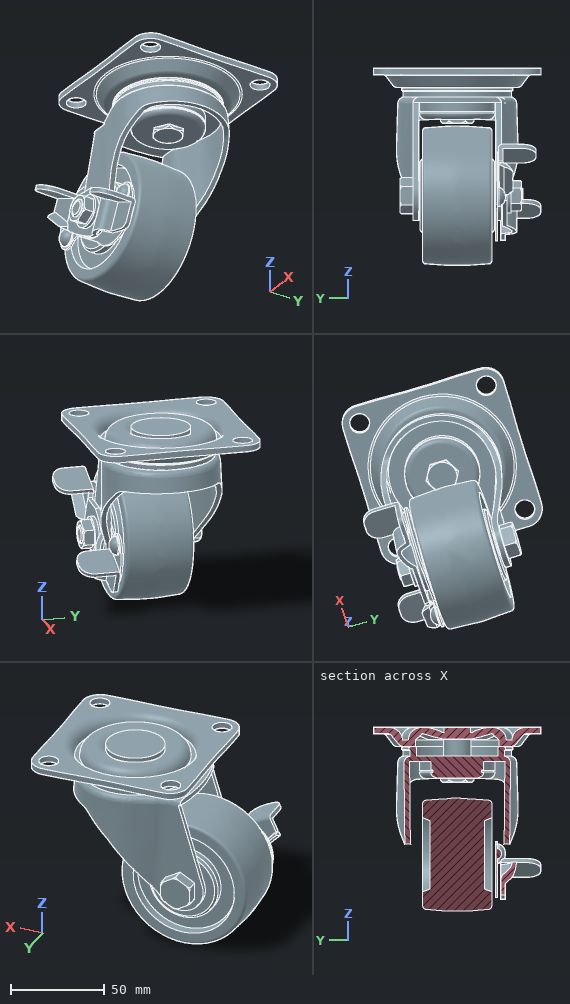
import cadquery as cq
import math


PLATE_SIDE = 90.0
PLATE_THICKNESS = 3.6
PLATE_CORNER_RADIUS = 10.0
SIDE_BOW_HALF_LENGTH = 22.5
SIDE_BOW_DEPTH = 0.45
MOUNT_HOLE_DIAMETER = 10.6
MOUNT_HOLE_SPACING = 71.0
BOWL_TOP_RADIUS = 39.8
BOWL_FLOOR_RADIUS = 32.6
BOWL_DEPTH = 6.9
BOWL_RIM_DROP = 0.4
BOWL_RIM_STEP = 1.2
BOWL_WALL_FOOT = (34.3, -9.7)
BOWL_FOOT_BEND = (33.3, -10.3)
BOWL_BASE_RADIUS = 31.5
DOME_OUTER_RADIUS = 30.0
DOME_CREST_RADIUS = 23.5
DOME_CREST_INNER_RADIUS = 22.5
FUNNEL_DEPTH = 3.0
PIN_HEAD_RADIUS = 16.0
PIN_SHAFT_RADIUS = 7.5
PIN_HEX_DIAMETER = 18.2
PIN_HEX_CHAMFER = 1.2
PIN_END_Z = -29.7

WHEEL_X = -36.0
WHEEL_Z = -68.5
WHEEL_RADIUS = 37.5
TREAD_SHOULDER_RADIUS = 36.6
TREAD_FACE_RADIUS = 34.7
WHEEL_HALF_WIDTH = 18.75
TREAD_ROUNDING = 2.0
RECESS_OUTER_RADIUS = 29.4
RECESS_FLOOR_RADIUS = 28.4
RECESS_DEPTH = 4.0
HUB_BASE_RADIUS = 20.0
HUB_RADIUS = 18.5
HUB_Y = 20.0
BOSS_RADIUS = 8.0
AXLE_RADIUS = 5.0

SHEET = 3.2
LEG_INNER_Y = 20.6
LEG_OUTER_Y = LEG_INNER_Y + SHEET
FORK_ROUND_RADIUS = 31.9
FORK_ROOF_Z = -15.4
FORK_LEAN = 0.08
FORK_SPREAD = 0.035
FORK_TOP_ROUNDING = 3.8
FLARE_START_X = -29.3
FLARE_LINE_X = -23.4
FLARE_LINE_Y = 25.6
LEG_END_RADIUS = 13.4
ROOF_FRONT_X = -39.0
ROOF_CORNER_X = -35.7
FORK_REAR_X = 45.0
LEG_FRONT_TOP = (-35.2, -19.2)
LEG_REAR_LOW_BEND = (-3.3, -49.3)
LEG_REAR_HIGH_BEND = (2.4, -42.4)
SKIRT_ARC_START = (14.6, -31.0)
SKIRT_ARC_MIDDLE = (17.2, -29.0)
SKIRT_ARC_END = (20.7, -28.1)
SKIRT_REAR = (33.0, -27.2)
NECK_RADIUS = 29.2
NECK_WALL = 3.2
SEAL_RADIUS = 29.8
SEAL_HEIGHT = 1.7
SEAL_GAP = 0.3
SEAL_CHAMFER = 0.5
CUP_RADIUS = 20.2
CUP_Z = -27.5
CUP_ROUNDING = 3.0
CUP_GROOVE_Z = -23.2
CUP_GROOVE_WIDTH = 1.0
CUP_GROOVE_DEPTH = 0.8

BOLT_HEAD_DIAMETER = 19.5
BOLT_HEAD_END_Y = 30.8
BOLT_END_Y = -35.2
BOLT_END_CHAMFER = 1.2
NUT_DIAMETER = 16.3
NUT_INNER_Y = -28.8
NUT_OUTER_Y = -34.6
NUT_FLANGE_RADIUS = 9.25
HEX_ROUNDING_DROP = 0.8

BRAKE_SHEET = 1.1
BRAKE_LOBE_RADIUS = 6.5
BRAKE_LEFT_HALF = (20.0, (-15.2, 3.4), (1.57, 14.4), 197.5)
BRAKE_RIGHT_HALF = (19.0, (15.1, -5.3), (-0.2, -16.6), 28.0)
BRAKE_LOBE_END_TURN = 125.0
BRAKE_ELBOW = (19.0, 3.8)
RIVET_RADIUS = 5.2
RIVET_COLLAR = 0.7
RIVET_DOME = 3.4
RIVET_DOME_BEND = (3.9, -2.1)

LEVER_ANGLE = 25.5
LEVER_SHEET = 2.5
LEFT_WEB_Y = -24.6
MIDDLE_Y = -26.7
RIDGE_Y = -32.0
RIGHT_WEB_Y = -25.8
LEFT_BEND_U = -24.0
MIDDLE_START_U = -18.0
MIDDLE_END_U = 10.3
RIDGE_RISE = (15.2, -29.0)
RIDGE_U = 20.5
RIDGE_SHOULDER = (23.0, -29.75)
RIDGE_FALL = (24.2, -27.75)
RIGHT_BEND_U = 25.5
LEVER_LEFT_U = -41.2
LEVER_RIGHT_U = 40.2
LEFT_PEDAL_END_U = -22.8
RIGHT_PEDAL_START_U = 21.8
LEFT_PEDAL_W = 11.0
RIGHT_PEDAL_W = 8.2
LEFT_PEDAL_TIP_Y = -42.3
RIGHT_PEDAL_TIP_Y = -44.8
PEDAL_CORNER_RADIUS = 7.5
PEDAL_BEND_RADIUS = 2.2
LEVER_TOP_EDGE = ((-19.5, 8.1), (-4.8, 13.7), (3.0, 12.6), (10.0, 9.4), (16.6, 7.4))
LEVER_RIGHT_CORNER = ((LEVER_RIGHT_U, -4.7), (39.0, -7.6), (36.0, -9.1))
LEVER_BOTTOM_EDGE = ((26.6, -10.6), (6.2, -13.5), (-5.0, -12.6), (-16.4, -10.7), (-22.3, -6.9))
LIP_START = (-39.68, 0.9)
LIP_LENGTH = 22.0
LIP_ANGLE = -20.0
LIP_DROOP = 32.0
LIP_ROOT = 1.0
LIP_REACH = 6.8
LIP_DROP = 3.3
LIP_CORNER_RADIUS = 6.5


def cylinder_y(radius, y_start, y_end, x=WHEEL_X, z=WHEEL_Z):
    """Cylinder along Y between two Y positions."""
    return cq.Workplane("XZ", origin=(x, y_start, z)).circle(radius).extrude(y_start - y_end)


def hexagon_y(diameter, y_start, y_end):
    """Hexagonal prism along Y on the axle, one corner upward."""
    prism = cq.Workplane("XZ", origin=(WHEEL_X, y_start, WHEEL_Z))
    return prism.transformed(rotate=(0, 0, 90)).polygon(6, diameter).extrude(y_start - y_end)


def tangent_point(point, centre, radius, side):
    """Where a line from a point touches a circle; side +1 or -1 picks the tangent."""
    dx = point[0] - centre[0]
    dz = point[1] - centre[1]
    angle = math.atan2(dz, dx) + side * math.acos(radius / math.hypot(dx, dz))
    return (centre[0] + radius * math.cos(angle), centre[1] + radius * math.sin(angle))


def plate_blank():
    half = PLATE_SIDE / 2
    waist = half - SIDE_BOW_DEPTH
    bow = SIDE_BOW_HALF_LENGTH
    blank = (
        cq.Workplane("XY")
        .rect(PLATE_SIDE, PLATE_SIDE)
        .extrude(-PLATE_THICKNESS)
        .edges("|Z")
        .fillet(PLATE_CORNER_RADIUS)
    )
    bow_cut = (
        cq.Workplane("XY")
        .moveTo(-bow, half)
        .threePointArc((0, waist), (bow, half))
        .close()
        .extrude(-PLATE_THICKNESS)
    )
    for turn in range(4):
        blank = blank.cut(bow_cut.rotate((0, 0, 0), (0, 0, 1), 90 * turn))
    return blank


def bowl_and_pin():
    """Revolved bowl, ball-race dome and king pin, with the dome hollow underneath."""
    underside = -BOWL_DEPTH - PLATE_THICKNESS
    diagonal = math.sqrt(0.5)
    bowl_run = BOWL_TOP_RADIUS - BOWL_FLOOR_RADIUS
    dome_run = DOME_OUTER_RADIUS - DOME_CREST_RADIUS
    hollow_radius = DOME_OUTER_RADIUS - PLATE_THICKNESS
    profile = (
        cq.Workplane("XZ")
        .moveTo(0, 0)
        .lineTo(PIN_HEAD_RADIUS, 0)
        .lineTo(PIN_HEAD_RADIUS, -FUNNEL_DEPTH)
        .threePointArc(
            ((PIN_HEAD_RADIUS + DOME_CREST_INNER_RADIUS) / 2, -FUNNEL_DEPTH / 4),
            (DOME_CREST_INNER_RADIUS, 0),
        )
        .lineTo(DOME_CREST_RADIUS, 0)
        .threePointArc(
            (DOME_CREST_RADIUS + dome_run * diagonal, -BOWL_DEPTH * (1 - diagonal)),
            (DOME_OUTER_RADIUS, -BOWL_DEPTH),
        )
        .lineTo(BOWL_FLOOR_RADIUS, -BOWL_DEPTH)
        .threePointArc(
            (BOWL_TOP_RADIUS - bowl_run * diagonal, -BOWL_DEPTH * (1 - diagonal)),
            (BOWL_TOP_RADIUS, 0),
        )
        .lineTo(BOWL_TOP_RADIUS, -PLATE_THICKNESS)
        .lineTo(BOWL_TOP_RADIUS - BOWL_RIM_STEP, -PLATE_THICKNESS - BOWL_RIM_DROP)
        .lineTo(*BOWL_WALL_FOOT)
        .threePointArc(BOWL_FOOT_BEND, (BOWL_BASE_RADIUS, underside))
        .lineTo(hollow_radius, underside)
        .lineTo(hollow_radius, -BOWL_DEPTH)
        .lineTo(DOME_CREST_RADIUS, -PLATE_THICKNESS)
        .lineTo(PIN_HEAD_RADIUS, -PLATE_THICKNESS - FUNNEL_DEPTH)
        .lineTo(PIN_SHAFT_RADIUS, -PLATE_THICKNESS - FUNNEL_DEPTH)
        .lineTo(PIN_SHAFT_RADIUS, CUP_Z)
        .lineTo(0, CUP_Z)
        .close()
    )
    return profile.revolve(360, (0, 0, 0), (0, 1, 0))


def make_plate():
    hex_height = CUP_Z - PIN_END_Z
    bowl_hole = cq.Workplane("XY").circle(BOWL_TOP_RADIUS).extrude(-PLATE_THICKNESS)
    pin_hex = (
        cq.Workplane("XY", origin=(0, 0, CUP_Z))
        .transformed(rotate=(0, 0, 90))
        .polygon(6, PIN_HEX_DIAMETER)
        .extrude(-hex_height)
    )
    pin_end = (
        cq.Workplane("XY", origin=(0, 0, CUP_Z))
        .circle(PIN_HEX_DIAMETER / 2)
        .extrude(-hex_height)
        .faces("<Z")
        .edges()
        .chamfer(PIN_HEX_CHAMFER)
    )
    pin_hex = pin_hex.intersect(pin_end)
    holes = (
        cq.Workplane("XY")
        .rect(MOUNT_HOLE_SPACING, MOUNT_HOLE_SPACING, forConstruction=True)
        .vertices()
        .circle(MOUNT_HOLE_DIAMETER / 2)
        .extrude(-PLATE_THICKNESS)
    )
    return plate_blank().cut(bowl_hole).union(bowl_and_pin()).union(pin_hex).cut(holes)


def fork_section(inset, z):
    """Plan outline of the fork at a height, moved inward by the sheet thickness where asked."""
    depth = FORK_ROOF_Z - z
    shift = FORK_LEAN * depth
    front = 2 * ROOF_FRONT_X
    radius = FORK_ROUND_RADIUS + FORK_SPREAD * depth - inset
    flat_y = LEG_OUTER_Y - inset
    line_y = FLARE_LINE_Y - inset
    touch = tangent_point((FLARE_LINE_X, line_y), (0, 0), radius, -1)
    bend = ((FLARE_START_X + FLARE_LINE_X) / 2, flat_y + (line_y - flat_y) / 4)
    section = cq.Workplane("XY", origin=(shift, 0, z)).moveTo(front, -flat_y)
    section = section.lineTo(FLARE_START_X, -flat_y)
    section = section.threePointArc((bend[0], -bend[1]), (FLARE_LINE_X, -line_y))
    section = section.lineTo(touch[0], -touch[1])
    section = section.threePointArc((radius, 0), touch)
    section = section.lineTo(FLARE_LINE_X, line_y)
    section = section.threePointArc(bend, (FLARE_START_X, flat_y))
    section = section.lineTo(front, flat_y).close()
    return section.val()


def fork_loft(inset, z_top):
    z_bottom = WHEEL_Z - LEG_END_RADIUS
    wires = [fork_section(inset, z_top), fork_section(inset, z_bottom)]
    return cq.Workplane(cq.Solid.makeLoft(wires, True))


def fork_side_profile():
    """Side outline of the fork: sloping legs that end in a round at the axle."""
    axle = (WHEEL_X, WHEEL_Z)
    front_touch = tangent_point(LEG_FRONT_TOP, axle, LEG_END_RADIUS, 1)
    rear_touch = tangent_point(LEG_REAR_LOW_BEND, axle, LEG_END_RADIUS, -1)
    leg_bottom = (WHEEL_X, WHEEL_Z - LEG_END_RADIUS)
    return (
        cq.Workplane("XZ")
        .moveTo(ROOF_FRONT_X, FORK_ROOF_Z)
        .lineTo(ROOF_FRONT_X, FORK_ROOF_Z - SHEET)
        .lineTo(LEG_FRONT_TOP[0], FORK_ROOF_Z - SHEET)
        .lineTo(*LEG_FRONT_TOP)
        .lineTo(*front_touch)
        .threePointArc(leg_bottom, rear_touch)
        .lineTo(*LEG_REAR_LOW_BEND)
        .lineTo(*LEG_REAR_HIGH_BEND)
        .lineTo(*SKIRT_ARC_START)
        .threePointArc(SKIRT_ARC_MIDDLE, SKIRT_ARC_END)
        .lineTo(*SKIRT_REAR)
        .lineTo(FORK_REAR_X, SKIRT_REAR[1])
        .lineTo(FORK_REAR_X, FORK_ROOF_Z)
        .close()
        .extrude(PLATE_SIDE / 2, both=True)
    )


def fork_neck():
    """Neck and seal ring above the roof, with the lower race cup below it."""
    top = -BOWL_DEPTH - PLATE_THICKNESS
    seal_bottom = top - SEAL_GAP - SEAL_HEIGHT
    neck = cq.Workplane("XY", origin=(0, 0, FORK_ROOF_Z)).circle(NECK_RADIUS).extrude(top - FORK_ROOF_Z)
    seal = cq.Workplane("XY", origin=(0, 0, seal_bottom)).circle(SEAL_RADIUS).extrude(SEAL_HEIGHT)
    seal = seal.faces("<Z").edges().chamfer(SEAL_CHAMFER)
    bore = (
        cq.Workplane("XY", origin=(0, 0, FORK_ROOF_Z))
        .circle(NECK_RADIUS - NECK_WALL)
        .extrude(top - FORK_ROOF_Z)
    )
    cup = (
        cq.Workplane("XY", origin=(0, 0, FORK_ROOF_Z))
        .circle(CUP_RADIUS)
        .extrude(CUP_Z - FORK_ROOF_Z)
        .faces("<Z")
        .edges()
        .fillet(CUP_ROUNDING)
    )
    groove = (
        cq.Workplane("XY", origin=(0, 0, CUP_GROOVE_Z))
        .circle(CUP_RADIUS)
        .circle(CUP_RADIUS - CUP_GROOVE_DEPTH)
        .extrude(-CUP_GROOVE_WIDTH)
    )
    return neck.union(seal).cut(bore).union(cup.cut(groove))


def make_fork():
    shell = fork_loft(0, FORK_ROOF_Z).faces(">Z").edges("not <X").fillet(FORK_TOP_ROUNDING)
    shell = shell.cut(fork_loft(SHEET, FORK_ROOF_Z - SHEET))
    fork = shell.intersect(fork_side_profile())
    roof_edge = (
        cq.Workplane("XY")
        .moveTo(ROOF_CORNER_X, -LEG_OUTER_Y)
        .threePointArc((ROOF_FRONT_X, 0), (ROOF_CORNER_X, LEG_OUTER_Y))
        .lineTo(2 * ROOF_FRONT_X, LEG_OUTER_Y)
        .lineTo(2 * ROOF_FRONT_X, -LEG_OUTER_Y)
        .close()
        .extrude(FORK_ROOF_Z - SHEET)
    )
    pin_hole = cq.Workplane("XY").circle(PIN_SHAFT_RADIUS).extrude(PIN_END_Z)
    fork = fork.cut(roof_edge).union(fork_neck()).cut(pin_hole)
    return fork.cut(cylinder_y(AXLE_RADIUS, LEG_OUTER_Y, -LEG_OUTER_Y))


def make_wheel():
    """Crowned tread, recessed faces and a raised hub, symmetric about the middle plane."""
    shoulder_y = WHEEL_HALF_WIDTH - TREAD_ROUNDING
    floor_y = WHEEL_HALF_WIDTH - RECESS_DEPTH
    bulge = math.sqrt(0.5)
    corner_r = TREAD_FACE_RADIUS + bulge * (TREAD_SHOULDER_RADIUS - TREAD_FACE_RADIUS)
    corner_y = shoulder_y + bulge * TREAD_ROUNDING
    face = [
        (AXLE_RADIUS, LEG_INNER_Y),
        (BOSS_RADIUS, LEG_INNER_Y),
        (BOSS_RADIUS, HUB_Y),
        (HUB_RADIUS, HUB_Y),
        (HUB_BASE_RADIUS, WHEEL_HALF_WIDTH),
        (HUB_BASE_RADIUS, floor_y),
        (RECESS_FLOOR_RADIUS, floor_y),
        (RECESS_OUTER_RADIUS, WHEEL_HALF_WIDTH),
        (TREAD_FACE_RADIUS, WHEEL_HALF_WIDTH),
    ]
    other_face = [(radius, -y) for radius, y in reversed(face)]
    profile = (
        cq.Workplane("XY")
        .polyline(face)
        .threePointArc((corner_r, corner_y), (TREAD_SHOULDER_RADIUS, shoulder_y))
        .threePointArc((WHEEL_RADIUS, 0), (TREAD_SHOULDER_RADIUS, -shoulder_y))
        .threePointArc((corner_r, -corner_y), other_face[0])
    )
    for point in other_face[1:]:
        profile = profile.lineTo(*point)
    wheel = profile.close().revolve(360, (0, 0, 0), (0, 1, 0))
    wheel = wheel.rotate((0, 0, 0), (0, 1, 0), 90)
    return wheel.translate((WHEEL_X, 0, WHEEL_Z))


def round_hex_corners(hexagon, diameter, y_end, direction):
    """Trim the corners of a hexagon with a chamfered cylinder at one end."""
    length = BOLT_HEAD_DIAMETER
    trim = cylinder_y(diameter / 2, y_end, y_end - direction * length)
    end_face = ">Y" if direction > 0 else "<Y"
    return hexagon.intersect(trim.faces(end_face).edges().chamfer(HEX_ROUNDING_DROP))


def make_bolt():
    head = hexagon_y(BOLT_HEAD_DIAMETER, BOLT_HEAD_END_Y, LEG_OUTER_Y)
    head = round_hex_corners(head, BOLT_HEAD_DIAMETER, BOLT_HEAD_END_Y, 1)
    shaft = cylinder_y(AXLE_RADIUS, LEG_OUTER_Y, BOLT_END_Y)
    return head.union(shaft.faces("<Y").edges().chamfer(BOLT_END_CHAMFER))


def make_nut():
    nut = hexagon_y(NUT_DIAMETER, NUT_INNER_Y, NUT_OUTER_Y)
    nut = round_hex_corners(nut, NUT_DIAMETER, NUT_OUTER_Y, -1)
    flange = cylinder_y(NUT_FLANGE_RADIUS, MIDDLE_Y, NUT_INNER_Y)
    return nut.union(flange).cut(cylinder_y(AXLE_RADIUS, MIDDLE_Y, NUT_OUTER_Y))


def point_at(centre, radius, degrees):
    """Point on a circle at an angle measured from +X toward +Z."""
    angle = math.radians(degrees)
    return (centre[0] + radius * math.cos(angle), centre[1] + radius * math.sin(angle))


def rivet_position(half):
    """Rivet centre, placed so that its lobe touches the large arc from inside."""
    arc_radius, arc_centre, _, direction = half
    return point_at(arc_centre, arc_radius - BRAKE_LOBE_RADIUS, direction)


def brake_plate_outline():
    """S-shaped outline about the axle: each half is a rivet lobe running into a large arc."""
    outline = cq.Workplane("XZ", origin=(WHEEL_X, -LEG_INNER_Y, WHEEL_Z)).moveTo(*BRAKE_RIGHT_HALF[2])
    for half, sign in ((BRAKE_LEFT_HALF, -1), (BRAKE_RIGHT_HALF, 1)):
        arc_radius, arc_centre, arc_end, direction = half
        lobe = rivet_position(half)
        lobe_start = point_at(lobe, BRAKE_LOBE_RADIUS, direction + BRAKE_LOBE_END_TURN)
        lobe_middle = point_at(lobe, BRAKE_LOBE_RADIUS, direction + BRAKE_LOBE_END_TURN / 2)
        touch = point_at(arc_centre, arc_radius, direction)
        arc_middle = (arc_centre[0], arc_centre[1] - sign * arc_radius)
        outline = outline.lineTo(sign * BRAKE_ELBOW[0], sign * BRAKE_ELBOW[1])
        outline = outline.lineTo(*lobe_start)
        outline = outline.threePointArc(lobe_middle, touch)
        outline = outline.threePointArc(arc_middle, arc_end)
    return outline.close()


def rivet(x, z):
    """Round-headed rivet standing on the outside of the brake plate."""
    collar_y = -LEG_INNER_Y - BRAKE_SHEET - RIVET_COLLAR
    collar = cylinder_y(RIVET_RADIUS, -LEG_INNER_Y, collar_y, x, z)
    dome = (
        cq.Workplane("XY")
        .moveTo(0, 0)
        .lineTo(RIVET_RADIUS, 0)
        .threePointArc(RIVET_DOME_BEND, (0, -RIVET_DOME))
        .close()
        .revolve(360, (0, 0, 0), (0, 1, 0))
        .translate((x, collar_y, z))
    )
    return collar.union(dome)


def make_brake_plate():
    plate = brake_plate_outline().extrude(BRAKE_SHEET)
    for half in (BRAKE_LEFT_HALF, BRAKE_RIGHT_HALF):
        rivet_x, rivet_z = rivet_position(half)
        plate = plate.union(rivet(WHEEL_X + rivet_x, WHEEL_Z + rivet_z))
    return plate.cut(cylinder_y(AXLE_RADIUS, -LEG_INNER_Y, -LEG_OUTER_Y))


def lever_sheet():
    """Bent sheet along its middle line: left web, raised middle, rounded ridge, right web."""
    half = LEVER_SHEET / 2
    left_y = LEFT_WEB_Y + half
    middle_y = MIDDLE_Y + half
    ridge_y = RIDGE_Y + half
    right_y = RIGHT_WEB_Y + half
    path = (
        cq.Workplane("XY")
        .moveTo(2 * LEVER_LEFT_U, left_y)
        .lineTo(LEFT_BEND_U, left_y)
        .lineTo(MIDDLE_START_U, middle_y)
        .lineTo(MIDDLE_END_U, middle_y)
        .threePointArc(RIDGE_RISE, (RIDGE_U, ridge_y))
        .threePointArc(RIDGE_SHOULDER, RIDGE_FALL)
        .lineTo(RIGHT_BEND_U, right_y)
        .lineTo(2 * LEVER_RIGHT_U, right_y)
    )
    return path.offset2D(half).extrude(PLATE_SIDE / 2, both=True)


def lever_outline():
    """Outline of the lever seen along Y, up to the tops of both pedals."""
    top_start, top_peak, top_bulge, top_end, top_right = LEVER_TOP_EDGE
    corner_top, corner_bulge, corner_end = LEVER_RIGHT_CORNER
    bottom_right, bottom_middle, bottom_bulge, bottom_end, bottom_left = LEVER_BOTTOM_EDGE
    return (
        cq.Workplane("XZ")
        .moveTo(LEVER_LEFT_U, LEFT_PEDAL_W)
        .lineTo(LEFT_PEDAL_END_U, LEFT_PEDAL_W)
        .lineTo(LEFT_PEDAL_END_U, top_start[1])
        .lineTo(*top_start)
        .lineTo(*top_peak)
        .threePointArc(top_bulge, top_end)
        .lineTo(*top_right)
        .lineTo(RIGHT_PEDAL_START_U, RIGHT_PEDAL_W - LEVER_SHEET)
        .lineTo(RIGHT_PEDAL_START_U, RIGHT_PEDAL_W)
        .lineTo(LEVER_RIGHT_U, RIGHT_PEDAL_W)
        .lineTo(*corner_top)
        .threePointArc(corner_bulge, corner_end)
        .lineTo(*bottom_right)
        .lineTo(*bottom_middle)
        .threePointArc(bottom_bulge, bottom_end)
        .lineTo(*bottom_left)
        .lineTo(*LIP_START)
        .lineTo(LEVER_LEFT_U, LIP_START[1])
        .close()
        .extrude(PLATE_SIDE / 2)
    )


def tab(length, y_root, y_tip, corner_radius):
    """Flat tab along +u from the origin, reaching outward to y_tip with two round corners."""
    depth = y_root - y_tip
    blank = cq.Workplane("XY").box(length, depth, LEVER_SHEET, centered=False)
    blank = blank.edges("|Z and <Y").fillet(corner_radius)
    return blank.translate((0, y_tip, -LEVER_SHEET))


def make_lever():
    lever = lever_sheet().intersect(lever_outline())
    pedals = [
        (LEVER_LEFT_U, LEFT_PEDAL_END_U, LEFT_PEDAL_W, LEFT_WEB_Y, LEFT_PEDAL_TIP_Y),
        (RIGHT_PEDAL_START_U, LEVER_RIGHT_U, RIGHT_PEDAL_W, RIGHT_WEB_Y, RIGHT_PEDAL_TIP_Y),
    ]
    for start_u, end_u, top_w, web_y, tip_y in pedals:
        pedal = tab(end_u - start_u, web_y + LEVER_SHEET, tip_y, PEDAL_CORNER_RADIUS)
        lever = lever.union(pedal.translate((start_u, 0, top_w)))
        bend = cq.selectors.NearestToPointSelector(((start_u + end_u) / 2, web_y + LEVER_SHEET, top_w))
        lever = lever.edges(bend).fillet(PEDAL_BEND_RADIUS)
    lip = tab(LIP_LENGTH, LIP_ROOT, -LIP_REACH, LIP_CORNER_RADIUS)
    lip = lip.rotate((0, 0, 0), (1, 0, 0), LIP_DROOP)
    above_lip_edge = cq.Workplane("XY").box(2 * LIP_LENGTH, PLATE_SIDE, 2 * LIP_DROP)
    lip = lip.intersect(above_lip_edge).rotate((0, 0, 0), (0, 1, 0), -LIP_ANGLE)
    lip = lip.translate((LIP_START[0], LEFT_WEB_Y, LIP_START[1]))
    lever = lever.union(lip)
    lever = lever.rotate((0, 0, 0), (0, 1, 0), LEVER_ANGLE).translate((WHEEL_X, 0, WHEEL_Z))
    return lever.cut(cylinder_y(AXLE_RADIUS, -LEG_INNER_Y, RIDGE_Y))


plate = make_plate()
wheel = make_wheel()
bolt = make_bolt()
nut = make_nut()
brake_plate = make_brake_plate()
fork = make_fork().cut(brake_plate)
lever = make_lever().cut(fork).cut(brake_plate)

bodies = [plate, fork, wheel, bolt, nut, brake_plate, lever]
result = cq.Compound.makeCompound([body.solids().val() for body in bodies])